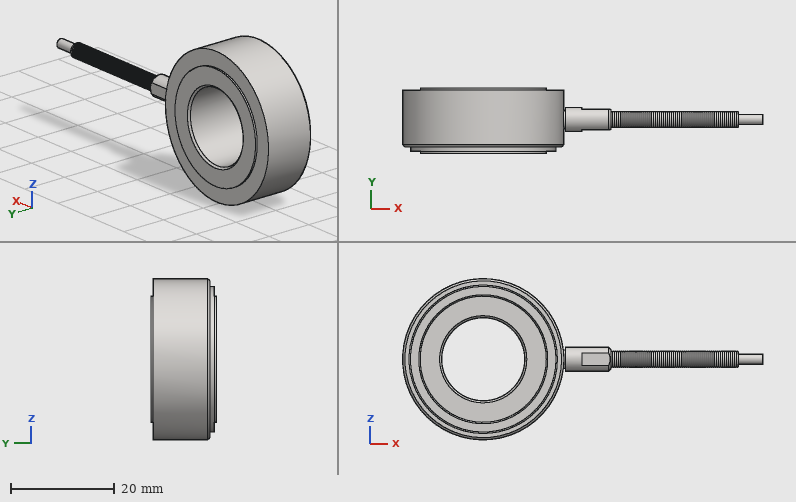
import cadquery as cq
RING_DIA = 31.3
BORE_DIA = 16.05
BORE_CHAMFER = 0.4
RING_WIDTH = 12.7
PAD_DIA = 24.4
PAD_HEIGHT = 0.4
PAD_SEAT_CHAMFER = 0.3
COVER_DIA = 28.2
COVER_HEIGHT = 0.85
COVER_GAP_DIA = 28.75
COVER_GAP_DEPTH = 0.35
RIM_CHAMFER = 0.455

CABLE_Y = 0.245
OVERALL_LENGTH = 69.8
CABLE_END = OVERALL_LENGTH - RING_DIA / 2
CORE_DIA = 2.0
GLAND_END = 24.8
SLEEVE_START = 24.65
SLEEVE_END = 49.4
SLEEVE_DIA = 3.15
SLEEVE_RIBS = 65
GLAND_START = 15.9
GLAND_DIA = 4.7
GLAND_CHAMFER = 0.5
GLAND_NECK_DIA = 3.6
FLAT_START = 19.1
FLAT_SPACING = 4.05

FRONT = -RING_WIDTH / 2
BACK = RING_WIDTH / 2
COVER_FACE = FRONT + PAD_HEIGHT
RIM_FACE = COVER_FACE + COVER_HEIGHT
BODY_BACK = BACK - PAD_HEIGHT
NECK_OVERLAP = 0.7
NECK_START = RING_DIA / 2 - NECK_OVERLAP
SMALLEST_CIRCLE = cq.selectors.RadiusNthSelector(0)


def disc(dia, y_start, y_end):
    """Cylinder around the Y axis."""
    plane = cq.Workplane("XZ", origin=(0, y_start, 0))
    return plane.circle(dia / 2).extrude(y_start - y_end)


def tube(outer_dia, inner_dia, y_start, y_end):
    return disc(outer_dia, y_start, y_end).cut(disc(inner_dia, y_start, y_end))


def rod(dia, x_start, x_end):
    """Cylinder around the cable axis."""
    plane = cq.Workplane("YZ", origin=(x_start, CABLE_Y, 0))
    return plane.circle(dia / 2).extrude(x_end - x_start)


def make_ring():
    ring = disc(RING_DIA, RIM_FACE, BODY_BACK).faces("<Y").chamfer(RIM_CHAMFER)
    ring = ring.cut(tube(COVER_GAP_DIA, COVER_DIA, RIM_FACE, RIM_FACE + COVER_GAP_DEPTH))
    return ring.union(disc(COVER_DIA, COVER_FACE, RIM_FACE))


def add_pads(ring):
    """Core standing proud on both sides, in a seat countersunk into the cover."""
    seat = ring.cut(disc(PAD_DIA, COVER_FACE, BODY_BACK))
    seat = seat.faces("<Y").edges(SMALLEST_CIRCLE).chamfer(PAD_SEAT_CHAMFER)
    return seat.union(disc(PAD_DIA, FRONT, BACK))


def cut_bore(ring):
    ring = ring.cut(disc(BORE_DIA, FRONT, BACK))
    return ring.faces("<Y or >Y").edges(SMALLEST_CIRCLE).chamfer(BORE_CHAMFER)


def make_gland():
    gland = rod(GLAND_DIA, GLAND_START, GLAND_END).faces(">X").chamfer(GLAND_CHAMFER)
    flat_length = GLAND_END - FLAT_START
    for side in (1, -1):
        cutter = cq.Workplane("XY").box(flat_length, GLAND_DIA, GLAND_DIA)
        offset = side * (FLAT_SPACING + GLAND_DIA) / 2
        gland = gland.cut(cutter.translate((FLAT_START + flat_length / 2, CABLE_Y + offset, 0)))
    return gland.union(rod(GLAND_NECK_DIA, NECK_START, GLAND_START))


def make_sleeve():
    """Corrugated sleeve: an outline of half-round ribs meeting in sharp grooves, revolved."""
    pitch = (SLEEVE_END - SLEEVE_START) / SLEEVE_RIBS
    crest = SLEEVE_DIA / 2
    root = crest - pitch / 2
    outline = cq.Workplane("XY", origin=(0, CABLE_Y, 0))
    outline = outline.moveTo(SLEEVE_START, 0).lineTo(SLEEVE_START, root)
    for i in range(SLEEVE_RIBS):
        rib_start = SLEEVE_START + i * pitch
        outline = outline.threePointArc((rib_start + pitch / 2, crest), (rib_start + pitch, root))
    outline = outline.lineTo(SLEEVE_END, 0).close()
    return outline.revolve(360, (0, 0, 0), (1, 0, 0))


ring = cut_bore(add_pads(make_ring()))
cable = make_gland().union(make_sleeve()).union(rod(CORE_DIA, SLEEVE_END, CABLE_END))
result = ring.union(cable)